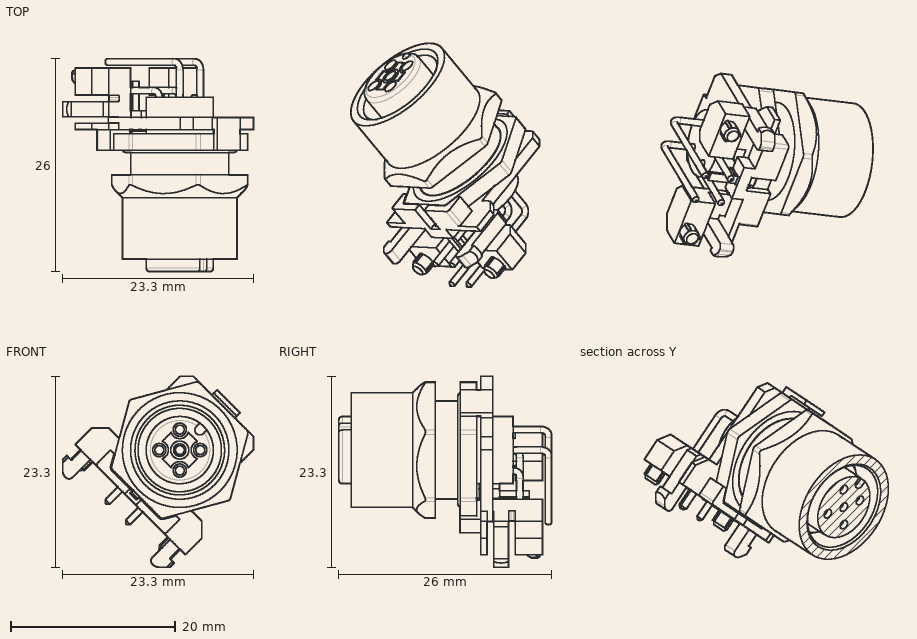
import cadquery as cq
import math

TILT = 45.0

INSERT_D = 8.2
INSERT_TIP_ROUND = 0.47
SHELL_D = 14.0
BORE_D = 10.93
BORE_MOUTH_D = 12.0
NECK_D = 12.0
RING_WIRE_D = 1.05
RING_SEATING = 0.05
HEX_ACROSS_FLATS = 15.0
HEX_CORNER_ROUND = 0.57

SHELL_FRONT = 1.53
BORE_FLOOR = 6.23
NUT_FRONT = 9.0
NUT_REAR = 11.79
FLANGE_FRONT = 14.8
FLANGE_REAR = 16.82
REAR_RING_Y = 15.03
INSERT_REAR = 21.25
OVERALL_LENGTH = 25.95

CONTACT_OFFSET = 1.77
SOCKET_D = 1.6
CENTRE_SOCKET_D = 1.5
CONTACT_BORE_D = 1.1
SOCKET_DEPTH = 1.05
CONTACT_BORE_DEPTH = 2.6
CONTACT_CONE_ANGLE = 90.0
SOCKET_LAND_D = 2.2
FACE_RECESS_SIDE = 4.52
FACE_RECESS_DEPTH = 0.1
KEYWAY_D = 1.2
KEYWAY_OFFSET = 3.45
KEYWAY_LENGTH = 2.6
PIN_D = 0.8
PIN_TIP_D = 0.25
PIN_TIP_LENGTH = 0.29
PIN_BEND_RADIUS = 0.95
PIN_END = -10.98
UPPER_PIN_Y = OVERALL_LENGTH - PIN_D / 2
LOWER_PIN_Y = 22.07

TAIL_WIDTH = 1.06
TAIL_THICKNESS = 0.3
TAIL_TOP = -7.53
TAIL_BOTTOM = TAIL_TOP - TAIL_THICKNESS
TAIL_END = 23.23
TAIL_ROOT_DEPTH = 0.25

BOARD_FACE = -8.55
PLATE_FRONT = 17.32
PLATE_REAR = 18.8
PLATE_HALF_WIDTH = 6.33
PLATE_TOP = 7.53
PLATE_CHAMFER = 1.12

WING_OUTER = 9.5
WING_INNER = 3.27
WING_TOP = -4.2
WING_OUTER_CHAMFER = 1.48
WING_INNER_CHAMFER = 0.99
WING_SPAN = 2 * WING_OUTER
LIP_REAR = 18.1
BRIDGE_BOTTOM = -6.0
BRIDGE_HALF_WIDTH = 6.23
ARM_FRONT = 18.87
ARM_REAR = 20.72
BLOCK_FRONT = 21.52
BLOCK_REAR = 24.85
SLOT_ROUND = 0.23

ARM_INNER = 6.88
ARM_OUTER = 8.51
ARM_END = -12.2
ARM_END_ROUND = 0.57
HOOK_TIP = 9.27
HOOK_TOP = -10.2
HOOK_SIDE_END = -10.93
HOOK_SLOPE = 0.95
HOOK_BULGE = 0.29

PEG_OFFSET = 7.53
PEG_Y = 23.78
PEG_D = 1.97
PEG_TIP_D = 1.5
PEG_SHOULDER = -10.0
PEG_END = -10.35
PEG_RIB_REACH = 1.15
PEG_RIB_WIDTH = 0.36
PEG_RIB_COUNT = 3

BOSS_FRONT = 14.77
BOSS_HALF_WIDTH = 5.97
BOSS_TOP = -5.97
BOSS_CORNER_ROUND = 0.4
FLANGE_CLEARANCE = 0.13
POCKET_ACROSS_FLATS = HEX_ACROSS_FLATS + 2 * FLANGE_CLEARANCE
POCKET_FLOOR = -POCKET_ACROSS_FLATS / 2
BOSS_GAP_HALF_WIDTH = 2.6
NOTCH_HALF_WIDTH = 0.95
LUG_HALF_WIDTH = 2.25
LUG_TOP = -6.07
LUG_REAR = 19.63
TAIL_SLOT_WIDTH = 1.15
TAIL_SLOT_FLOOR = -8.02
TAB_HALF_WIDTH = 1.97
TAB_BOTTOM = 7.85
TAB_TOP = 8.4


def section(y):
    """Sketch plane across the mating axis: local x is X, local y is Z."""
    return cq.Workplane("XZ", origin=(0, y, 0))


def box(x0, x1, y0, y1, z0, z1):
    return cq.Workplane().box(x1 - x0, y1 - y0, z1 - z0, centered=False).translate((x0, y0, z0))


def disc(diameter, y0, y1, x=0.0, z=0.0):
    return section(y0).center(x, z).circle(diameter / 2).extrude(y0 - y1)


def prism(points, y0, y1):
    return section(y0).polyline(points).close().extrude(y0 - y1)


def hexagon(across_flats, corner_round, y0, y1):
    """Hexagonal bar along Y with flats facing up and down."""
    across_corners = across_flats / math.cos(math.radians(30))
    bar = section(y0).polygon(6, across_corners).extrude(y0 - y1)
    return bar.edges("|Y").fillet(corner_round)


def ring(inner_diameter, y):
    """Round sealing ring around the mating axis."""
    wire_centre = (inner_diameter + RING_WIRE_D) / 2
    profile = cq.Workplane("XY").center(wire_centre, y).circle(RING_WIRE_D / 2)
    return profile.revolve(360, (-wire_centre, 0, 0), (-wire_centre, 1, 0))


def both_sides(right_half):
    return right_half.union(right_half.mirror("YZ"))



def shell():
    """Threaded shell, nut, neck and flange, before the insert is added."""
    body = disc(SHELL_D, SHELL_FRONT, NUT_FRONT)
    cone_growth = NUT_REAR - NUT_FRONT
    turned = (
        cq.Workplane("XY")
        .polyline([
            (0, NUT_FRONT),
            (SHELL_D / 2, NUT_FRONT),
            (SHELL_D / 2 + cone_growth, NUT_REAR),
            (0, NUT_REAR),
        ])
        .close()
        .revolve(360, (0, 0, 0), (0, 1, 0))
    )
    nut = hexagon(HEX_ACROSS_FLATS, HEX_CORNER_ROUND, NUT_FRONT, NUT_REAR).intersect(turned)
    body = body.union(nut).union(disc(NECK_D, NUT_REAR, FLANGE_FRONT))
    body = body.union(hexagon(HEX_ACROSS_FLATS, HEX_CORNER_ROUND, FLANGE_FRONT, FLANGE_REAR))
    return body.cut(bore())


def bore():
    """Blind bore of the shell with a 45 degree mouth."""
    mouth_depth = (BORE_MOUTH_D - BORE_D) / 2
    return (
        cq.Workplane("XY")
        .polyline([
            (0, SHELL_FRONT),
            (BORE_MOUTH_D / 2, SHELL_FRONT),
            (BORE_D / 2, SHELL_FRONT + mouth_depth),
            (BORE_D / 2, BORE_FLOOR),
            (0, BORE_FLOOR),
        ])
        .close()
        .revolve(360, (0, 0, 0), (0, 1, 0))
    )


def contact_positions():
    return [(x, z) for x in (-CONTACT_OFFSET, CONTACT_OFFSET) for z in (-CONTACT_OFFSET, CONTACT_OFFSET)]


def contact_hole(x, z):
    """Stepped blind hole of a contact, ending in a drill cone."""
    cone_depth = CONTACT_BORE_D / 2 / math.tan(math.radians(CONTACT_CONE_ANGLE / 2))
    hole = (
        cq.Workplane("XY")
        .polyline([
            (0, 0),
            (SOCKET_D / 2, 0),
            (SOCKET_D / 2, SOCKET_DEPTH),
            (CONTACT_BORE_D / 2, SOCKET_DEPTH),
            (CONTACT_BORE_D / 2, CONTACT_BORE_DEPTH),
            (0, CONTACT_BORE_DEPTH + cone_depth),
        ])
        .close()
        .revolve(360, (0, 0, 0), (0, 1, 0))
    )
    return hole.translate((x, 0, z))


def face_recess():
    """Shallow square recess around the five raised socket lands."""
    recess = section(0).rect(FACE_RECESS_SIDE, FACE_RECESS_SIDE).extrude(-FACE_RECESS_DEPTH)
    for x, z in contact_positions() + [(0, 0)]:
        recess = recess.cut(disc(SOCKET_LAND_D, 0, FACE_RECESS_DEPTH, x, z))
    return recess


def keyway():
    channel = disc(KEYWAY_D, 0, KEYWAY_LENGTH, 0, KEYWAY_OFFSET)
    half = KEYWAY_D / 2
    return channel.union(box(-half, half, 0, KEYWAY_LENGTH, KEYWAY_OFFSET, INSERT_D / 2 + half))


def insert():
    """Contact carrier running through the whole connector."""
    body = disc(INSERT_D, 0, INSERT_REAR).faces("<Y").edges().fillet(INSERT_TIP_ROUND)
    for x, z in contact_positions():
        body = body.cut(contact_hole(x, z))
    body = body.cut(disc(CENTRE_SOCKET_D, 0, SOCKET_DEPTH))
    body = body.cut(disc(CONTACT_BORE_D, 0, CONTACT_BORE_DEPTH))
    return body.cut(face_recess()).cut(keyway())


def contact_pin(x, z):
    """Round pin leaving the insert backwards and bent down to the board."""
    leg_y = UPPER_PIN_Y if z > 0 else LOWER_PIN_Y
    start_y = INSERT_REAR - PIN_D
    bend_start = leg_y - PIN_BEND_RADIUS
    bend_z = z - PIN_BEND_RADIUS
    shoulder = PIN_END + PIN_TIP_LENGTH
    back = disc(PIN_D, start_y, bend_start, x, z)
    bend = (
        section(bend_start)
        .center(x, z)
        .circle(PIN_D / 2)
        .revolve(90, (-0.25, -PIN_BEND_RADIUS, 0), (0.25, -PIN_BEND_RADIUS, 0))
        .rotate((x, bend_start, bend_z), (x + 0.25, bend_start, bend_z), -90)
    )
    down = cq.Workplane("XY", origin=(x, leg_y, shoulder)).circle(PIN_D / 2).extrude(bend_z - shoulder)
    tip = (
        cq.Workplane("XY", origin=(x, leg_y, PIN_END))
        .circle(PIN_TIP_D / 2)
        .workplane(offset=PIN_TIP_LENGTH)
        .circle(PIN_D / 2)
        .loft()
    )
    return back.union(bend).union(down).union(tip)


def grounding_tail():
    """Strip going down behind the flange, then bent backwards."""
    half = TAIL_WIDTH / 2
    leg_top = TAIL_ROOT_DEPTH - INSERT_D / 2
    leg = box(-half, half, FLANGE_REAR, FLANGE_REAR + TAIL_THICKNESS, TAIL_BOTTOM, leg_top)
    foot = box(-half, half, FLANGE_REAR, TAIL_END, TAIL_BOTTOM, TAIL_TOP)
    tail = leg.union(foot)
    return tail.edges("|X and <Y and <Z").fillet(TAIL_THICKNESS)


def make_connector():
    body = shell().union(insert())
    front_ring_y = BORE_FLOOR - RING_WIRE_D / 2 + RING_SEATING
    body = body.union(ring(INSERT_D - 2 * RING_SEATING, front_ring_y))
    body = body.union(ring(NECK_D, REAR_RING_Y))
    for x, z in contact_positions():
        body = body.union(contact_pin(x, z))
    return body.union(grounding_tail())



def plate():
    blank = box(-PLATE_HALF_WIDTH, PLATE_HALF_WIDTH, PLATE_FRONT, PLATE_REAR, BRIDGE_BOTTOM, PLATE_TOP)
    return blank.edges("|Y and >Z").chamfer(PLATE_CHAMFER)


def lip():
    """Thin front layer spanning both wings down to the board."""
    blank = box(-WING_OUTER, WING_OUTER, PLATE_FRONT, LIP_REAR, BOARD_FACE, WING_TOP)
    return blank.edges("|Y and >Z").chamfer(WING_OUTER_CHAMFER)


def wing(y0, y1, bottom):
    """Right wing with chamfered upper corners."""
    return prism([
        (WING_INNER, bottom),
        (WING_INNER, WING_TOP - WING_INNER_CHAMFER),
        (WING_INNER + WING_INNER_CHAMFER, WING_TOP),
        (WING_OUTER - WING_OUTER_CHAMFER, WING_TOP),
        (WING_OUTER, WING_TOP - WING_OUTER_CHAMFER),
        (WING_OUTER, bottom),
    ], y0, y1)


def wing_slot(y0, y1):
    """Slot freeing the outer part of a wing, rounded at its inner end."""
    slot = box(BRIDGE_HALF_WIDTH, WING_SPAN, y0, y1, ARM_END, PLATE_TOP)
    return slot.edges("|Z and <X").fillet(SLOT_ROUND)


def bridge():
    """Upper part of the right wing that links the lip, the arm and the rear block."""
    upper = wing(LIP_REAR, BLOCK_FRONT, BRIDGE_BOTTOM)
    upper = upper.cut(wing_slot(LIP_REAR, ARM_FRONT)).cut(wing_slot(ARM_REAR, BLOCK_FRONT))
    return upper.cut(box(ARM_OUTER, WING_SPAN, ARM_FRONT, ARM_REAR, ARM_END, PLATE_TOP))


def latch_arm():
    """Right snap arm whose hook bulges outward at mid width."""
    diagonal = ARM_END_ROUND * math.sqrt(0.5)
    slope_end = HOOK_TIP - HOOK_SLOPE
    profile = (
        section(ARM_FRONT)
        .moveTo(ARM_INNER, BRIDGE_BOTTOM)
        .lineTo(ARM_OUTER, BRIDGE_BOTTOM)
        .lineTo(ARM_OUTER, HOOK_TOP)
        .lineTo(HOOK_TIP, HOOK_TOP)
        .lineTo(HOOK_TIP, HOOK_SIDE_END)
        .lineTo(slope_end, HOOK_SIDE_END - HOOK_SLOPE)
        .tangentArcPoint((ARM_INNER + ARM_END_ROUND, ARM_END), relative=False)
        .threePointArc(
            (ARM_INNER + ARM_END_ROUND - diagonal, ARM_END + ARM_END_ROUND - diagonal),
            (ARM_INNER, ARM_END + ARM_END_ROUND),
        )
        .close()
    )
    arm = profile.extrude(ARM_FRONT - ARM_REAR)
    plan = (
        cq.Workplane("XY", origin=(0, 0, ARM_END))
        .moveTo(0, ARM_FRONT)
        .lineTo(HOOK_TIP - HOOK_BULGE, ARM_FRONT)
        .threePointArc((HOOK_TIP, (ARM_FRONT + ARM_REAR) / 2), (HOOK_TIP - HOOK_BULGE, ARM_REAR))
        .lineTo(0, ARM_REAR)
        .close()
        .extrude(-ARM_END)
    )
    return arm.intersect(plan)


def peg():
    """Right locating peg with crush ribs and a tapered end."""
    body = cq.Workplane("XY", origin=(0, 0, PEG_SHOULDER)).circle(PEG_D / 2).extrude(BOARD_FACE - PEG_SHOULDER)
    end = (
        cq.Workplane("XY", origin=(0, 0, PEG_END))
        .circle(PEG_TIP_D / 2)
        .workplane(offset=PEG_SHOULDER - PEG_END)
        .circle(PEG_D / 2)
        .loft()
    )
    body = body.union(end)
    half = PEG_RIB_WIDTH / 2
    rib = box(-half, half, -PEG_RIB_REACH, 0, PEG_SHOULDER, BOARD_FACE)
    for index in range(PEG_RIB_COUNT):
        body = body.union(rib.rotate((0, 0, 0), (0, 0, 1), index * 360 / PEG_RIB_COUNT))
    return body.translate((PEG_OFFSET, PEG_Y, 0))


def boss():
    """Foot under the hexagonal flange, hollowed to clear it."""
    foot = box(-BOSS_HALF_WIDTH, BOSS_HALF_WIDTH, BOSS_FRONT, PLATE_FRONT, BOARD_FACE, BOSS_TOP)
    foot = foot.edges("|Y and <Z").fillet(BOSS_CORNER_ROUND)
    foot = foot.cut(hexagon(POCKET_ACROSS_FLATS, HEX_CORNER_ROUND, BOSS_FRONT, FLANGE_REAR))
    return foot.cut(box(
        -BOSS_GAP_HALF_WIDTH, BOSS_GAP_HALF_WIDTH, FLANGE_REAR, PLATE_FRONT, POCKET_FLOOR, BOSS_TOP
    ))


def tab():
    """Top tab reaching forward over the flange."""
    finger = box(-TAB_HALF_WIDTH, TAB_HALF_WIDTH, FLANGE_FRONT, PLATE_REAR, TAB_BOTTOM, TAB_TOP)
    return finger.union(box(-TAB_HALF_WIDTH, TAB_HALF_WIDTH, PLATE_FRONT, PLATE_REAR, PLATE_TOP, TAB_TOP))


def make_bracket():
    body = plate().union(lip()).union(boss()).union(tab())
    body = body.union(box(-LUG_HALF_WIDTH, LUG_HALF_WIDTH, LIP_REAR, LUG_REAR, BOARD_FACE, LUG_TOP))
    body = body.union(both_sides(bridge()))
    body = body.union(both_sides(wing(BLOCK_FRONT, BLOCK_REAR, BOARD_FACE)))
    body = body.union(both_sides(latch_arm()))
    body = body.union(both_sides(peg()))
    body = body.cut(disc(INSERT_D, PLATE_FRONT, PLATE_REAR))
    body = body.cut(box(
        -NOTCH_HALF_WIDTH, NOTCH_HALF_WIDTH, BOSS_FRONT, LIP_REAR, BOARD_FACE, POCKET_FLOOR
    ))
    half = TAIL_SLOT_WIDTH / 2
    return body.cut(box(-half, half, PLATE_FRONT, LUG_REAR, TAIL_SLOT_FLOOR, 0))


def tilted(body):
    return body.rotate((0, 0, 0), (0, 1, 0), TILT)


connector = tilted(make_connector())
bracket = tilted(make_bracket())
result = cq.Compound.makeCompound([connector.val(), bracket.val()])